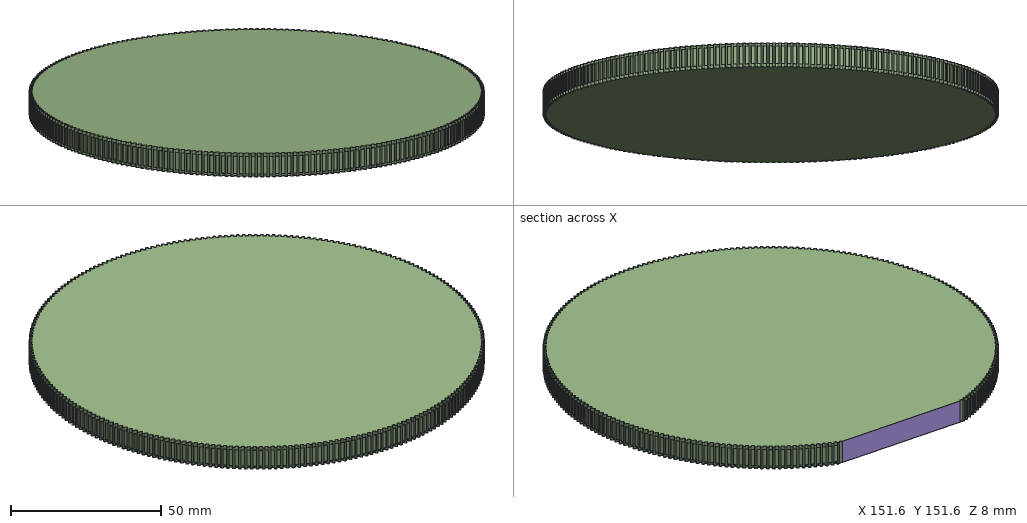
import cadquery as cq
import math

outer_radius = 75.8
thickness = 8.0
notch_count = 238

root_radius = 0.56
root_centre_inset = 0.5
lip_radius = 0.38

band_inset = 0.2
band_wall = 0.08
end_margin = 1.0

pitch_angle = 2 * math.pi / notch_count
root_centre_radius = outer_radius - root_centre_inset
floor_radius = root_centre_radius - root_radius
lip_centre_radius = outer_radius - lip_radius
centre_distance = root_radius + lip_radius
lip_angle = math.acos(
    (root_centre_radius**2 + lip_centre_radius**2 - centre_distance**2)
    / (2 * root_centre_radius * lip_centre_radius)
)


def polar(radius, angle):
    return (radius * math.cos(angle), radius * math.sin(angle))


def lip_points(notch_angle, side):
    """Rim end, middle and root end of the lip arc on one side (-1 or 1) of a notch."""
    root_centre = polar(root_centre_radius, notch_angle)
    lip_centre = polar(lip_centre_radius, notch_angle + side * lip_angle)
    rim_end = polar(outer_radius, notch_angle + side * lip_angle)
    share = lip_radius / centre_distance
    root_end = tuple(c + (r - c) * share for c, r in zip(lip_centre, root_centre))
    chord_offset = [(a + b) / 2 - c for a, b, c in zip(rim_end, root_end, lip_centre)]
    stretch = lip_radius / math.hypot(*chord_offset)
    middle = tuple(c + d * stretch for c, d in zip(lip_centre, chord_offset))
    return rim_end, middle, root_end


def notched_disc():
    """Full-height disc with the notches running through it from face to face."""
    start, _, _ = lip_points(0, 1)
    outline = cq.Workplane("XY").moveTo(*start)
    for index in range(notch_count):
        land_angle = (index + 0.5) * pitch_angle
        notch_angle = (index + 1) * pitch_angle
        rim_in, middle_in, root_in = lip_points(notch_angle, -1)
        rim_out, middle_out, root_out = lip_points(notch_angle, 1)
        outline = (
            outline.threePointArc(polar(outer_radius, land_angle), rim_in)
            .threePointArc(middle_in, root_in)
            .threePointArc(polar(floor_radius, notch_angle), root_out)
            .threePointArc(middle_out, rim_out)
        )
    return outline.close().extrude(thickness)


def closing_band():
    """Thin ring just inside the rim, set in from both faces by the end margin."""
    band_radius = outer_radius - band_inset
    return (
        cq.Workplane("XY")
        .workplane(offset=end_margin)
        .circle(band_radius)
        .circle(band_radius - band_wall)
        .extrude(thickness - 2 * end_margin)
    )


result = notched_disc().union(closing_band(), clean=False)